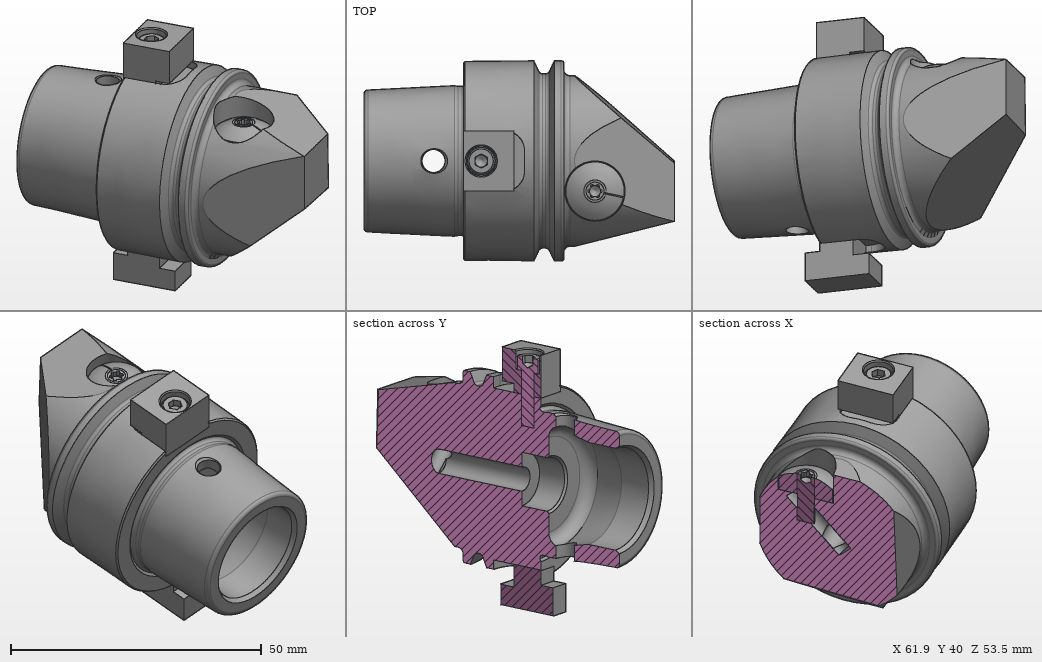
import cadquery as cq
import math

LENGTH = 61.9

SHANK_END_RADIUS = 14.2
SHANK_RADIUS = 15.05
SHANK_EDGE = 0.8
TAPER_END_X = 18.0
RELIEF_RADIUS = 14.9
RELIEF_X = 18.7
RELIEF_FILLET = 0.75

FLANGE_X = 19.9
FLANGE_END_X = 39.85
FLANGE_RADIUS = 20.0
FLANGE_FRONT_RADIUS = 19.9
FLANGE_EDGE = 0.3
FLANGE_END_EDGE = 0.55
FACE_RELIEF_RADIUS = 16.2
FACE_RELIEF_DEPTH = 0.4
GROOVE_X = 35.9
GROOVE_MOUTH = 4.1
GROOVE_RADIUS = 17.4
GROOVE_FLANK_ANGLE = 65.0
GROOVE_FILLET = 0.8

NECK_RADIUS = 17.0
NECK_FILLET = 1.2
NOSE_CUT_X = 41.95
NECK_X = FLANGE_END_X + NECK_FILLET
TIP_SIZE = 12.0
STEEP_TILT = 2.0

BORE_RADIUS = 10.5
BORE_EDGE = 0.55
BORE_EDGE_LENGTH = 1.0
BORE_UNDERCUT_X = 7.85
UNDERCUT_RADIUS = 12.4
UNDERCUT_CONE_END_X = 15.4
BORE_FLOOR_FILLET = 2.55
BORE_DEPTH = UNDERCUT_CONE_END_X + BORE_FLOOR_FILLET
SEAT_RADIUS = 5.5
SEAT_EDGE = 0.45
SEAT_DEPTH = 24.75

CROSS_HOLE_X = 13.85
CROSS_HOLE_RADIUS = 2.3
CROSS_HOLE_EDGE = 0.4

SLOT_END_X = 32.0
SLOT_CORNER_RADIUS = 3.95
KEY_STEM_LENGTH = 7.0
TOP_KEY_WIDTH = 12.0
TOP_KEY_LENGTH = 10.0
TOP_KEY_SEAT_Z = 17.65
TOP_KEY_LIP_Z = 19.45
TOP_KEY_TOP_Z = 26.5
BOTTOM_KEY_WIDTH = 8.0
BOTTOM_KEY_SEAT_Z = -18.1
BOTTOM_KEY_FRONT_LEDGE_Z = -21.1
BOTTOM_KEY_BACK_LEDGE_Z = -22.65
BOTTOM_KEY_BOTTOM_Z = -27.0
BOTTOM_KEY_FRONT_OVERHANG = 3.05
BOTTOM_KEY_BACK_OVERHANG = 3.4

SCREW_X = FLANGE_X + KEY_STEM_LENGTH / 2
SCREW_HEAD_RADIUS = 2.7
SCREW_HEAD_EDGE = 0.3
SCREW_HEAD_HEIGHT = 3.0
SCREW_HEAD_TOP_Z = 25.5
SCREW_SHANK_RADIUS = 1.5
SCREW_TIP_Z = 11.15
HEX_SIDES = 6
HEX_FLATS = 2.5
HEX_DEPTH = 1.5
SOCKET_DRILL_ANGLE = 120.0
COUNTERBORE_RADIUS = 3.0
COUNTERBORE_EDGE = 0.25

DISC_X = 46.05
DISC_Y = -TIP_SIZE / 2
RECESS_RADIUS = 6.0
RECESS_FLOOR_Z = 8.9
DISC_RADIUS = 5.8
DISC_FLAT_RADIUS = 2.2
DISC_TOP_Z = 14.0
DOME_RADIUS = 9.3
DISC_SLIT_WIDTH = 0.25
DISC_SLIT_ANGLE = -12.0
DISC_SCREW_RADIUS = 1.8
DISC_SCREW_TIP_Z = 2.5
SOCKET_CORE_RADIUS = 1.1
SOCKET_LOBE_RADIUS = 0.3
SOCKET_LOBES = 6
SOCKET_DEPTH = 1.25

CHANNEL_AXIAL_RADIUS = 2.5
CHANNEL_RADIUS = 1.75
CHANNEL_LENGTH = 16.1

REACH = 123.8


def revolve_about_x(profile):
    return profile.close().revolve(360, (0, 0, 0), (1, 0, 0))


def vertical_cylinder(x, y, radius, bottom_z, top_z):
    base = cq.Workplane("XY", origin=(x, y, bottom_z))
    return base.circle(radius).extrude(top_z - bottom_z)


def drill_point(x, y, z, radius):
    """Downward cone that a drill leaves below a socket."""
    depth = radius / math.tan(math.radians(SOCKET_DRILL_ANGLE / 2))
    return cq.Workplane(cq.Solid.makeCone(radius, 0, depth, pnt=(x, y, z), dir=(0, 0, -1)))


def outer_body():
    flank_run = (FLANGE_RADIUS - GROOVE_RADIUS) / math.tan(math.radians(GROOVE_FLANK_ANGLE))
    mouth_start = GROOVE_X - GROOVE_MOUTH / 2
    mouth_end = GROOVE_X + GROOVE_MOUTH / 2
    face_relief_x = FLANGE_X + FACE_RELIEF_DEPTH
    body = revolve_about_x(
        cq.Workplane("XY")
        .moveTo(0, 0)
        .lineTo(0, SHANK_END_RADIUS - SHANK_EDGE)
        .radiusArc((SHANK_EDGE, SHANK_END_RADIUS), SHANK_EDGE)
        .lineTo(TAPER_END_X, SHANK_RADIUS)
        .lineTo(RELIEF_X, RELIEF_RADIUS)
        .lineTo(face_relief_x - RELIEF_FILLET, RELIEF_RADIUS)
        .radiusArc((face_relief_x, RELIEF_RADIUS + RELIEF_FILLET), -RELIEF_FILLET)
        .lineTo(FLANGE_X, FACE_RELIEF_RADIUS)
        .lineTo(FLANGE_X, FLANGE_FRONT_RADIUS - FLANGE_EDGE)
        .lineTo(FLANGE_X + FLANGE_EDGE, FLANGE_FRONT_RADIUS)
        .lineTo(mouth_start, FLANGE_RADIUS)
        .lineTo(mouth_start + flank_run, GROOVE_RADIUS)
        .lineTo(mouth_end - flank_run, GROOVE_RADIUS)
        .lineTo(mouth_end, FLANGE_RADIUS)
        .lineTo(FLANGE_END_X - FLANGE_END_EDGE, FLANGE_RADIUS)
        .radiusArc((FLANGE_END_X, FLANGE_RADIUS - FLANGE_END_EDGE), FLANGE_END_EDGE)
        .lineTo(FLANGE_END_X, NECK_RADIUS + NECK_FILLET)
        .radiusArc((NECK_X, NECK_RADIUS), -NECK_FILLET)
        .lineTo(LENGTH, NECK_RADIUS)
        .lineTo(LENGTH, 0)
    )
    groove_floor = cq.selectors.BoxSelector(
        (GROOVE_X - flank_run, -FLANGE_RADIUS, -FLANGE_RADIUS),
        (GROOVE_X + flank_run, FLANGE_RADIUS, FLANGE_RADIUS),
    )
    return body.edges(groove_floor).edges(cq.selectors.RadiusNthSelector(0)).fillet(GROOVE_FILLET)


def nose_cutter(outward, across, tip_offset, tilt):
    """Block ahead of the flange, outside a plane from the neck at NOSE_CUT_X to tip_offset at the tip."""
    outward = cq.Vector(*outward)
    across = cq.Vector(*across)
    along = cq.Vector(LENGTH - NOSE_CUT_X, 0, 0) + outward * (tip_offset - NECK_RADIUS)
    lateral = across - outward * math.tan(math.radians(tilt))
    normal = along.cross(lateral)
    if normal.dot(outward) < 0:
        normal = normal * -1
    origin = cq.Vector(LENGTH, 0, 0) + outward * tip_offset
    plane = cq.Plane(origin=origin, xDir=along, normal=normal)
    outside = cq.Workplane(plane).rect(REACH, REACH).extrude(REACH)
    ahead_of_flange = cq.Workplane("YZ", origin=(NECK_X, 0, 0)).rect(REACH, REACH).extrude(REACH)
    return outside.intersect(ahead_of_flange)


def bore():
    return revolve_about_x(
        cq.Workplane("XY")
        .moveTo(0, 0)
        .lineTo(0, BORE_RADIUS + BORE_EDGE)
        .lineTo(BORE_EDGE_LENGTH, BORE_RADIUS)
        .lineTo(BORE_UNDERCUT_X, BORE_RADIUS)
        .lineTo(UNDERCUT_CONE_END_X, UNDERCUT_RADIUS)
        .radiusArc((BORE_DEPTH, UNDERCUT_RADIUS - BORE_FLOOR_FILLET), BORE_FLOOR_FILLET)
        .lineTo(BORE_DEPTH, SEAT_RADIUS + SEAT_EDGE)
        .lineTo(BORE_DEPTH + SEAT_EDGE, SEAT_RADIUS)
        .lineTo(SEAT_DEPTH, SEAT_RADIUS)
        .lineTo(SEAT_DEPTH, CHANNEL_AXIAL_RADIUS)
        .lineTo(DISC_X, CHANNEL_AXIAL_RADIUS)
        .lineTo(DISC_X, 0)
    )


def coolant_channel():
    """Cross channel from below the axial hole up to the disc recess."""
    start = (DISC_X, CHANNEL_AXIAL_RADIUS, -CHANNEL_AXIAL_RADIUS)
    plane = cq.Plane(origin=start, xDir=(1, 0, 0), normal=(0, -1, 1))
    return cq.Workplane(plane).circle(CHANNEL_RADIUS).extrude(CHANNEL_LENGTH)


def cross_hole():
    hole = vertical_cylinder(CROSS_HOLE_X, 0, CROSS_HOLE_RADIUS, -SHANK_RADIUS, SHANK_RADIUS)
    taper = (SHANK_RADIUS - SHANK_END_RADIUS) / (TAPER_END_X - SHANK_EDGE)
    shank_radius_there = SHANK_END_RADIUS + taper * (CROSS_HOLE_X - SHANK_EDGE)
    mouth = cq.Workplane("XY", origin=(CROSS_HOLE_X, 0, shank_radius_there - CROSS_HOLE_EDGE))
    countersink = mouth.circle(CROSS_HOLE_RADIUS).workplane(offset=2 * CROSS_HOLE_EDGE)
    return hole.union(countersink.circle(CROSS_HOLE_RADIUS + 2 * CROSS_HOLE_EDGE).loft())


def key_slot(width, floor_z, outward_z):
    """Slot open at the flange face, with its far corners rounded."""
    start_x = FLANGE_X - FLANGE_EDGE
    block = (
        cq.Workplane("XY", origin=(0, 0, floor_z))
        .moveTo((start_x + SLOT_END_X) / 2, 0)
        .rect(SLOT_END_X - start_x, width)
        .extrude(outward_z * FLANGE_RADIUS)
    )
    return block.edges("|Z and >X").fillet(SLOT_CORNER_RADIUS)


def make_housing():
    body = outer_body()
    body = body.cut(nose_cutter((0, 0, 1), (0, 1, 0), TIP_SIZE, 0))
    body = body.cut(nose_cutter((0, -1, 0), (0, 0, 1), TIP_SIZE, 0))
    body = body.cut(nose_cutter((0, 0, -1), (0, -1, 0), 0, STEEP_TILT))
    body = body.cut(nose_cutter((0, 1, 0), (0, 0, 1), 0, STEEP_TILT))
    body = body.cut(bore()).cut(coolant_channel()).cut(cross_hole())
    body = body.cut(key_slot(TOP_KEY_WIDTH, TOP_KEY_SEAT_Z, 1))
    body = body.cut(key_slot(BOTTOM_KEY_WIDTH, BOTTOM_KEY_SEAT_Z, -1))
    recess = vertical_cylinder(DISC_X, DISC_Y, RECESS_RADIUS, RECESS_FLOOR_Z, FLANGE_RADIUS)
    disc_screw_hole = vertical_cylinder(
        DISC_X, DISC_Y, DISC_SCREW_RADIUS, DISC_SCREW_TIP_Z, RECESS_FLOOR_Z
    )
    key_screw_hole = vertical_cylinder(SCREW_X, 0, SCREW_SHANK_RADIUS, SCREW_TIP_Z, TOP_KEY_SEAT_Z)
    return body.cut(recess).cut(disc_screw_hole).cut(key_screw_hole)


def make_top_key():
    stem_end_x = FLANGE_X + KEY_STEM_LENGTH
    end_x = FLANGE_X + TOP_KEY_LENGTH
    outline = [
        (FLANGE_X, TOP_KEY_SEAT_Z),
        (stem_end_x, TOP_KEY_SEAT_Z),
        (stem_end_x, TOP_KEY_LIP_Z),
        (end_x, TOP_KEY_LIP_Z),
        (end_x, TOP_KEY_TOP_Z),
        (FLANGE_X, TOP_KEY_TOP_Z),
    ]
    key = cq.Workplane("XZ").polyline(outline).close().extrude(TOP_KEY_WIDTH / 2, both=True)
    head_seat_z = SCREW_HEAD_TOP_Z - SCREW_HEAD_HEIGHT
    key = key.cut(vertical_cylinder(SCREW_X, 0, SCREW_SHANK_RADIUS, TOP_KEY_SEAT_Z, head_seat_z))
    key = key.cut(vertical_cylinder(SCREW_X, 0, COUNTERBORE_RADIUS, head_seat_z, TOP_KEY_TOP_Z))
    return key.faces(">Z").edges("%CIRCLE").chamfer(COUNTERBORE_EDGE)


def make_bottom_key():
    stem_end_x = FLANGE_X + KEY_STEM_LENGTH
    front_x = FLANGE_X - BOTTOM_KEY_FRONT_OVERHANG
    back_x = stem_end_x + BOTTOM_KEY_BACK_OVERHANG
    outline = [
        (FLANGE_X, BOTTOM_KEY_SEAT_Z),
        (stem_end_x, BOTTOM_KEY_SEAT_Z),
        (stem_end_x, BOTTOM_KEY_BACK_LEDGE_Z),
        (back_x, BOTTOM_KEY_BACK_LEDGE_Z),
        (back_x, BOTTOM_KEY_BOTTOM_Z),
        (front_x, BOTTOM_KEY_BOTTOM_Z),
        (front_x, BOTTOM_KEY_FRONT_LEDGE_Z),
        (FLANGE_X, BOTTOM_KEY_FRONT_LEDGE_Z),
    ]
    return cq.Workplane("XZ").polyline(outline).close().extrude(BOTTOM_KEY_WIDTH / 2, both=True)


def make_key_screw():
    head_seat_z = SCREW_HEAD_TOP_Z - SCREW_HEAD_HEIGHT
    head = vertical_cylinder(SCREW_X, 0, SCREW_HEAD_RADIUS, head_seat_z, SCREW_HEAD_TOP_Z)
    head = head.faces(">Z").edges().chamfer(SCREW_HEAD_EDGE)
    socket = (
        cq.Workplane("XY", origin=(SCREW_X, 0, SCREW_HEAD_TOP_Z))
        .polygon(HEX_SIDES, HEX_FLATS, circumscribed=True)
        .extrude(-HEX_DEPTH)
    )
    socket = socket.union(drill_point(SCREW_X, 0, SCREW_HEAD_TOP_Z - HEX_DEPTH, HEX_FLATS / 2))
    shank = vertical_cylinder(SCREW_X, 0, SCREW_SHANK_RADIUS, SCREW_TIP_Z, head_seat_z)
    return head.cut(socket).union(shank)


def make_disc():
    dome_center_z = DISC_TOP_Z - math.sqrt(DOME_RADIUS**2 - DISC_FLAT_RADIUS**2)
    rim_z = dome_center_z + math.sqrt(DOME_RADIUS**2 - DISC_RADIUS**2)
    disc = (
        cq.Workplane("XZ", origin=(DISC_X, DISC_Y, 0))
        .moveTo(DISC_SCREW_RADIUS, RECESS_FLOOR_Z)
        .lineTo(DISC_RADIUS, RECESS_FLOOR_Z)
        .lineTo(DISC_RADIUS, rim_z)
        .radiusArc((DISC_FLAT_RADIUS, DISC_TOP_Z), -DOME_RADIUS)
        .lineTo(DISC_SCREW_RADIUS, DISC_TOP_Z)
        .close()
        .revolve(360, (0, 0, 0), (0, 1, 0))
    )
    slit = (
        cq.Workplane("XY", origin=(DISC_X, DISC_Y, RECESS_FLOOR_Z))
        .transformed(rotate=(0, 0, DISC_SLIT_ANGLE))
        .moveTo(DISC_RADIUS, 0)
        .rect(2 * DISC_RADIUS, DISC_SLIT_WIDTH)
        .extrude(DISC_TOP_Z - RECESS_FLOOR_Z)
    )
    return disc.cut(slit)


def make_disc_screw():
    screw = vertical_cylinder(DISC_X, DISC_Y, DISC_SCREW_RADIUS, DISC_SCREW_TIP_Z, DISC_TOP_Z)
    top = cq.Workplane("XY", origin=(DISC_X, DISC_Y, DISC_TOP_Z))
    core = top.circle(SOCKET_CORE_RADIUS).extrude(-SOCKET_DEPTH)
    lobes = (
        top.polarArray(SOCKET_CORE_RADIUS, 0, 360, SOCKET_LOBES)
        .circle(SOCKET_LOBE_RADIUS)
        .extrude(-SOCKET_DEPTH)
    )
    point = drill_point(DISC_X, DISC_Y, DISC_TOP_Z - SOCKET_DEPTH, SOCKET_CORE_RADIUS)
    return screw.cut(core.union(lobes).union(point))


housing = make_housing()
top_key = make_top_key()
bottom_key = make_bottom_key()
key_screw = make_key_screw()
disc = make_disc()
disc_screw = make_disc_screw()

result = cq.Compound.makeCompound(
    [
        housing.val(),
        top_key.val(),
        bottom_key.val(),
        key_screw.val(),
        disc.val(),
        disc_screw.val(),
    ]
)